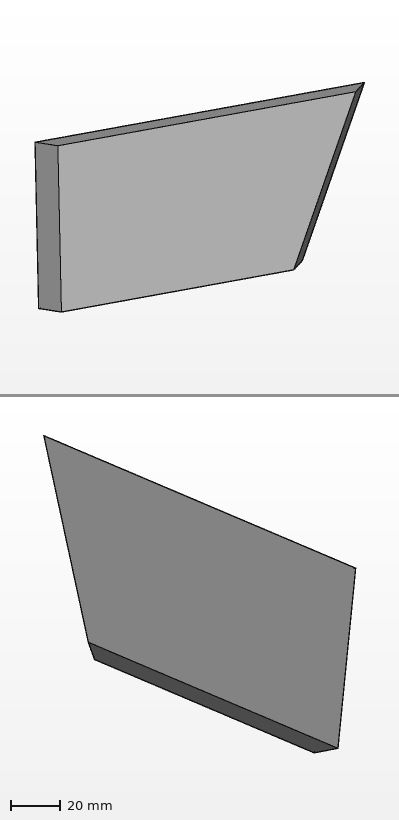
import cadquery as cq
import math

length_x = 104.0
height = 50.0
thickness_x = 10.0
end_face_slope = 45.0
end_edge_lean = 22.5

end_shift_x = height * math.tan(math.radians(end_edge_lean))
end_shift_y = height * math.tan(math.radians(end_face_slope))


def plate_section(start_x, start_y):
    """Horizontal section: a strip running at 45 degrees to the flat +X end."""
    run = length_x - start_x
    return [
        (start_x, start_y),
        (start_x + thickness_x, start_y),
        (length_x, start_y + run - thickness_x),
        (length_x, start_y + run),
    ]


bottom_section = plate_section(end_shift_x, 0)
top_section = plate_section(0, end_shift_y)

result = (
    cq.Workplane("XY")
    .polyline(bottom_section)
    .close()
    .workplane(offset=height)
    .polyline(top_section)
    .close()
    .loft(ruled=True, combine=True)
)